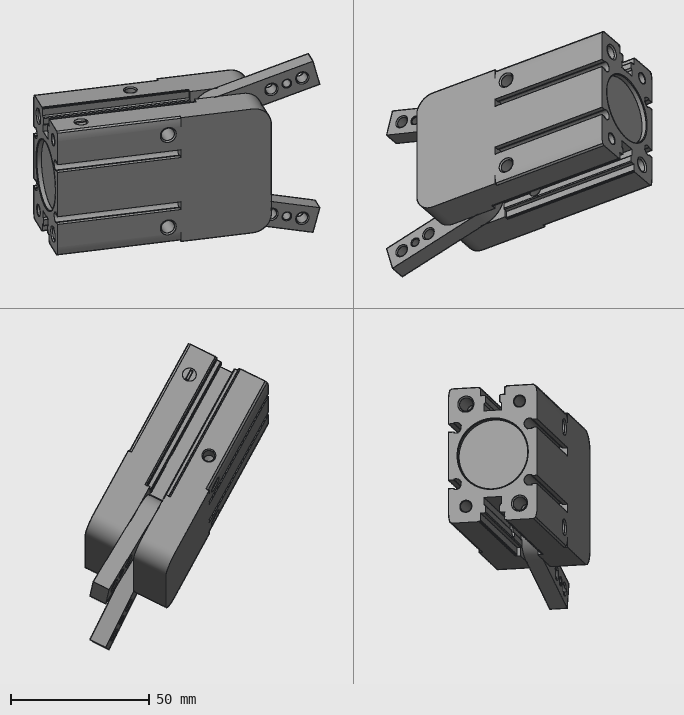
import cadquery as cq
import math

WIDTH = 33.0
LENGTH = 80.2
HEIGHT = 50.0
FRONT_RADIUS = 7.0
HALF_WIDTH = WIDTH / 2
HALF_HEIGHT = HEIGHT / 2

PROFILE_LENGTH = 46.3
RELIEF_WIDTH = 1.3
RELIEF_HEIGHT = 3.6
RELIEF_KNEE_INSET = 0.5
RELIEF_KNEE_DROP = 0.5
SENSOR_Z = 10.5
SENSOR_DIAMETER = 3.95
SENSOR_MOUTH = 3.1
SENSOR_LIP_DEPTH = 2.0
SENSOR_CENTER_DEPTH = 2.8

GUIDE_LENGTH = 55.0
GUIDE_DEPTH = 8.9
GUIDE_SHELF = 10.2
GUIDE_SHELF_DEPTH = 0.3
GUIDE_MOUTH = 8.9
GUIDE_MOUTH_CHAMFER = 0.15
GUIDE_STEP_DEPTH = 3.1
GUIDE_NECK = 5.2
GUIDE_NECK_CHAMFER = 0.35
GUIDE_NECK_END_DEPTH = 5.7

BORE_DIAMETER = 26.0
BORE_DEPTH = 2.0
BORE_CHAMFER = 0.3

M6_CORE = 4.92
M6_MOUTH = 6.0
M5_CORE = 4.13
M5_MOUTH = 5.0
DRILL_TIP_ANGLE = 118.0
REAR_HOLE_X = 10.0
REAR_HOLE_Z = 19.0
REAR_HOLE_DEPTH = 12.0
REAR_SMALL_MOUTH = 4.5
SIDE_HOLE_Y = 41.5
SIDE_HOLE_Z = 18.65
PORT_X = 10.25
PORT_Y = 34.6
PORT_DEPTH = 6.0

SCREW_X = PORT_X
SCREW_Y = 10.5
SCREW_DIAMETER = 5.0
SCREW_LENGTH = 3.5
DRIVER_SLOT_WIDTH = 1.0
DRIVER_SLOT_LENGTH = 3.8
DRIVER_SLOT_DEPTH = 1.0

FINGER_THICKNESS = 6.5
FINGER_DEPTH = 10.0
FINGER_REACH = 38.0
FINGER_ANGLE = 15.0
PIVOT_Y = 65.325
PIVOT_Z = 15.07
FINGER_BIG_HOLES = (5.5, 17.5)
FINGER_PIN_HOLE = 11.5
FINGER_PIN_DIAMETER = 3.0
FINGER_PIN_MOUTH = 3.6


def mirrored_pair(cutter, mirror_plane):
    return [cutter, cutter.mirror(mirror_plane)]


def drilled_hole(core, mouth, depth):
    """Cutter along +Z from Z = 0: 45 degree countersink, straight core, conical drill tip."""
    core_radius = core / 2
    mouth_radius = mouth / 2
    tip = core_radius / math.tan(math.radians(DRILL_TIP_ANGLE / 2))
    return (
        cq.Workplane("XZ")
        .moveTo(0, 0)
        .lineTo(mouth_radius, 0)
        .lineTo(core_radius, mouth_radius - core_radius)
        .lineTo(core_radius, depth)
        .lineTo(0, depth + tip)
        .close()
        .revolve(360, (0, 0), (0, 1))
    )


def through_hole(core, mouth, length):
    """Cutter along +Z from Z = 0 to length, countersunk at both ends."""
    sink = (mouth - core) / 2
    return (
        cq.Workplane("XZ")
        .moveTo(0, 0)
        .lineTo(mouth / 2, 0)
        .lineTo(core / 2, sink)
        .lineTo(core / 2, length - sink)
        .lineTo(mouth / 2, length)
        .lineTo(0, length)
        .close()
        .revolve(360, (0, 0), (0, 1))
    )


def along_x(cutter):
    return cutter.rotate((0, 0, 0), (0, 1, 0), 90)


def along_y(cutter):
    return cutter.rotate((0, 0, 0), (1, 0, 0), -90)


def down(cutter):
    return cutter.rotate((0, 0, 0), (1, 0, 0), 180)


def extrude_along_y(profile, length):
    """Extrude a profile drawn on the XZ plane from the rear face toward +Y."""
    return profile.extrude(-length)


def edge_relief():
    """Bevel at the top face, then an arc that runs out tangent to the side face."""
    arc_height = RELIEF_HEIGHT - RELIEF_KNEE_DROP
    arc_radius = (arc_height**2 + RELIEF_KNEE_INSET**2) / (2 * RELIEF_KNEE_INSET)
    arc_end_z = HALF_HEIGHT - RELIEF_HEIGHT
    half_angle = math.asin(arc_height / arc_radius) / 2
    arc_mid = (
        HALF_WIDTH - arc_radius * (1 - math.cos(half_angle)),
        arc_end_z + arc_radius * math.sin(half_angle),
    )
    return extrude_along_y(
        cq.Workplane("XZ")
        .moveTo(HALF_WIDTH, HALF_HEIGHT)
        .lineTo(HALF_WIDTH - RELIEF_WIDTH, HALF_HEIGHT)
        .lineTo(HALF_WIDTH - RELIEF_KNEE_INSET, HALF_HEIGHT - RELIEF_KNEE_DROP)
        .threePointArc(arc_mid, (HALF_WIDTH, arc_end_z))
        .lineTo(HALF_WIDTH, HALF_HEIGHT)
        .close(),
        PROFILE_LENGTH,
    )


def sensor_groove():
    """Keyhole profile: a narrow mouth opening into a wider round channel."""
    radius = SENSOR_DIAMETER / 2
    half_mouth = SENSOR_MOUTH / 2
    lip_x = HALF_WIDTH - SENSOR_LIP_DEPTH
    center_x = HALF_WIDTH - SENSOR_CENTER_DEPTH
    half_lip_opening = math.sqrt(radius**2 - (lip_x - center_x) ** 2)
    return extrude_along_y(
        cq.Workplane("XZ")
        .moveTo(HALF_WIDTH, SENSOR_Z + half_mouth)
        .lineTo(lip_x, SENSOR_Z + half_mouth)
        .lineTo(lip_x, SENSOR_Z + half_lip_opening)
        .threePointArc((center_x - radius, SENSOR_Z), (lip_x, SENSOR_Z - half_lip_opening))
        .lineTo(lip_x, SENSOR_Z - half_mouth)
        .lineTo(HALF_WIDTH, SENSOR_Z - half_mouth)
        .close(),
        PROFILE_LENGTH,
    )


def guide_groove():
    half_shelf = GUIDE_SHELF / 2
    half_mouth = GUIDE_MOUTH / 2
    half_neck = GUIDE_NECK / 2
    half_floor = FINGER_THICKNESS / 2
    shelf_z = HALF_HEIGHT - GUIDE_SHELF_DEPTH
    step_z = HALF_HEIGHT - GUIDE_STEP_DEPTH
    neck_end_z = HALF_HEIGHT - GUIDE_NECK_END_DEPTH
    right_side = [
        (half_shelf, HALF_HEIGHT),
        (half_shelf, shelf_z),
        (half_mouth + GUIDE_MOUTH_CHAMFER, shelf_z),
        (half_mouth, shelf_z - GUIDE_MOUTH_CHAMFER),
        (half_mouth, step_z),
        (half_neck + GUIDE_NECK_CHAMFER, step_z),
        (half_neck, step_z - GUIDE_NECK_CHAMFER),
        (half_neck, neck_end_z),
        (half_floor, neck_end_z - (half_floor - half_neck)),
        (half_floor, HALF_HEIGHT - GUIDE_DEPTH),
    ]
    left_side = [(-x, z) for x, z in reversed(right_side)]
    return extrude_along_y(cq.Workplane("XZ").polyline(right_side + left_side).close(), GUIDE_LENGTH)


def finger_slot():
    slot_length = LENGTH - GUIDE_LENGTH
    return cq.Workplane("XY").box(FINGER_THICKNESS, slot_length, HEIGHT).translate(
        (0, GUIDE_LENGTH + slot_length / 2, 0)
    )


def bore_recess():
    bore = extrude_along_y(cq.Workplane("XZ").circle(BORE_DIAMETER / 2), BORE_DEPTH)
    rim = along_y(
        cq.Workplane("XY")
        .circle(BORE_DIAMETER / 2 + BORE_CHAMFER)
        .workplane(offset=BORE_CHAMFER)
        .circle(BORE_DIAMETER / 2)
        .loft()
    )
    return bore.union(rim)


def screw_blank():
    return (
        cq.Workplane("XY", origin=(SCREW_X, SCREW_Y, HALF_HEIGHT))
        .circle(SCREW_DIAMETER / 2)
        .extrude(-SCREW_LENGTH)
    )


def make_housing():
    body = (
        cq.Workplane("XY")
        .box(WIDTH, LENGTH, HEIGHT)
        .translate((0, LENGTH / 2, 0))
        .edges("|X and >Y")
        .fillet(FRONT_RADIUS)
    )
    cutters = [finger_slot(), bore_recess(), screw_blank()]

    for side_cutter in (edge_relief(), sensor_groove()):
        for upper in mirrored_pair(side_cutter, "YZ"):
            cutters += mirrored_pair(upper, "XY")
    cutters += mirrored_pair(guide_groove(), "XY")

    rear_large = along_y(drilled_hole(M6_CORE, M6_MOUTH, REAR_HOLE_DEPTH))
    rear_small = along_y(drilled_hole(M5_CORE, REAR_SMALL_MOUTH, REAR_HOLE_DEPTH))
    side_hole = along_x(through_hole(M6_CORE, M6_MOUTH, WIDTH))
    for sign in (1, -1):
        cutters.append(rear_large.translate((-sign * REAR_HOLE_X, 0, sign * REAR_HOLE_Z)))
        cutters.append(rear_small.translate((sign * REAR_HOLE_X, 0, sign * REAR_HOLE_Z)))
        cutters.append(side_hole.translate((-HALF_WIDTH, SIDE_HOLE_Y, sign * SIDE_HOLE_Z)))

    port = down(drilled_hole(M5_CORE, M5_MOUTH, PORT_DEPTH))
    cutters.append(port.translate((-PORT_X, PORT_Y, HALF_HEIGHT)))

    for cutter in cutters:
        body = body.cut(cutter)
    return body


def make_throttle_screw():
    slot = cq.Workplane("XY").box(DRIVER_SLOT_WIDTH, DRIVER_SLOT_LENGTH, 2 * DRIVER_SLOT_DEPTH)
    return screw_blank().cut(slot.translate((SCREW_X, SCREW_Y, HALF_HEIGHT)))


def make_upper_finger():
    """Bar along +Y with a quarter-round heel about the pivot, then swung open and put in place."""
    heel_mid = FINGER_DEPTH * math.sqrt(0.5)
    finger = (
        cq.Workplane("YZ")
        .moveTo(-FINGER_DEPTH, 0)
        .lineTo(FINGER_REACH, 0)
        .lineTo(FINGER_REACH, FINGER_DEPTH)
        .lineTo(0, FINGER_DEPTH)
        .threePointArc((-heel_mid, heel_mid), (-FINGER_DEPTH, 0))
        .close()
        .extrude(FINGER_THICKNESS / 2, both=True)
    )
    big_hole = along_x(through_hole(M5_CORE, M5_MOUTH, FINGER_THICKNESS))
    pin_hole = along_x(through_hole(FINGER_PIN_DIAMETER, FINGER_PIN_MOUTH, FINGER_THICKNESS))
    holes = [(big_hole, from_tip) for from_tip in FINGER_BIG_HOLES]
    holes.append((pin_hole, FINGER_PIN_HOLE))
    for hole, from_tip in holes:
        finger = finger.cut(
            hole.translate((-FINGER_THICKNESS / 2, FINGER_REACH - from_tip, FINGER_DEPTH / 2))
        )
    return finger.rotate((0, 0, 0), (1, 0, 0), FINGER_ANGLE).translate((0, PIVOT_Y, PIVOT_Z))


housing = make_housing()
throttle_screw = make_throttle_screw()
fingers = mirrored_pair(make_upper_finger(), "XY")

result = cq.Compound.makeCompound(
    [housing.val(), throttle_screw.val(), *[finger.val() for finger in fingers]]
)